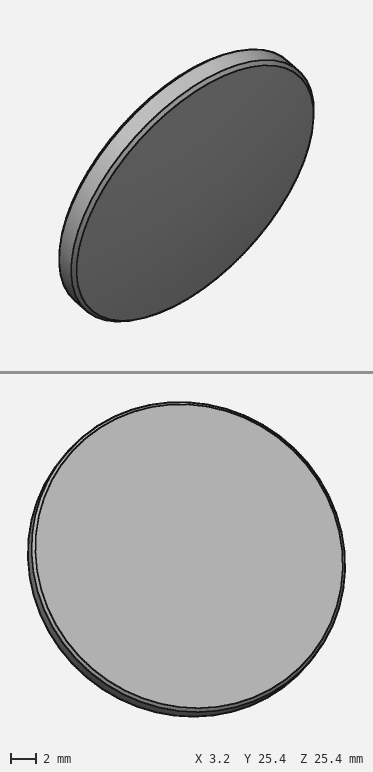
import cadquery as cq

diameter = 25.4
center_thickness = 3.2
flat_chamfer = 0.25
dome_chamfer = 0.3
rim_end = 1.73

radius = diameter / 2
flat_radius = radius - flat_chamfer
dome_radius = radius - dome_chamfer
dome_start = rim_end + dome_chamfer
dome_height = center_thickness - dome_start
sphere_radius = (dome_radius**2 + dome_height**2) / (2 * dome_height)

mid_radius = dome_radius / 2
mid_x = center_thickness - sphere_radius + (sphere_radius**2 - mid_radius**2) ** 0.5

half_section = (
    cq.Workplane("XZ")
    .moveTo(0, 0)
    .lineTo(0, flat_radius)
    .lineTo(flat_chamfer, radius)
    .lineTo(rim_end, radius)
    .lineTo(dome_start, dome_radius)
    .threePointArc((mid_x, mid_radius), (center_thickness, 0))
    .close()
)

result = half_section.revolve(360, (0, 0, 0), (1, 0, 0))